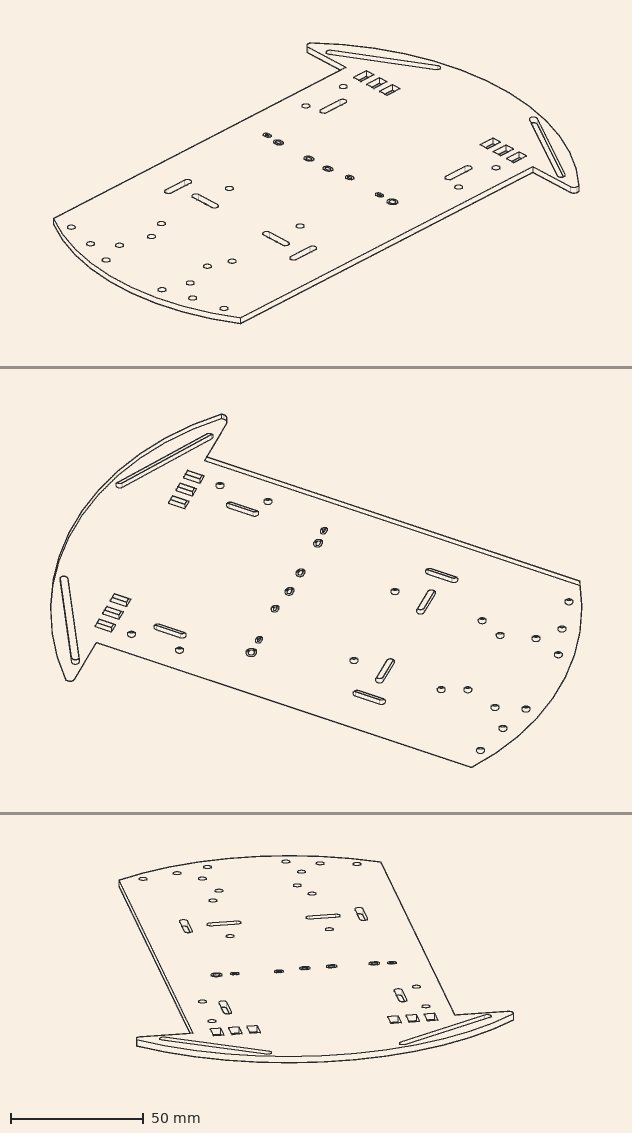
import cadquery as cq

plate_thickness = 2.5
plate_length = 199.4
front_y = plate_length / 2
rear_y = -plate_length / 2
body_half_width = 50.0
body_rear_corner_y = -85.7
head_half_width = 72.0
head_rear_y = 68.5
head_side_length = 2.8
head_corner_radius = 1.8

hole_diameter = 3.0
hole_centres = [
    (40.9, 58.2),
    (40.9, 38.5),
    (19.0, -23.5),
    (19.0, -59.5),
    (15.0, -68.5),
    (19.0, -81.5),
    (40.9, -85.3),
    (27.3, -88.5),
    (15.0, -92.5),
]

slot_width = 3.0
slot_length = 13.0
slot_places = [
    (33.5, 45.7, 90),
    (33.5, -36.3, 90),
    (19.0, -36.3, 0),
]

head_slot_length = 44.5
head_slot_x = 43.9
head_slot_y = 82.3
head_slot_angle = 30

window_width = 4.0
window_height = 6.8
window_first_x = 27.0
window_pitch = 7.0
window_count = 3
window_y = 69.0

island_gap = 0.8
island_places = [
    (-36.0, 13.4, 1.8, 0.5),
    (-29.5, 12.8, 2.4, 1.4),
    (-13.2, 12.8, 2.4, 1.4),
    (-3.0, 12.8, 2.4, 1.4),
    (7.2, 14.2, 1.8, 1.0),
    (24.0, 13.4, 1.8, 0.5),
    (30.9, 13.4, 2.5, 2.2),
]


def slot_prism(x, y, length, width, angle=0):
    """Round-ended prism through the plate thickness; length is the overall length."""
    return cq.Workplane("XY").center(x, y).slot2D(length, width, angle).extrude(plate_thickness)


def make_blank():
    """Plate with a wide curved head, a parallel body and a curved rear edge."""
    head_side_top_y = head_rear_y + head_side_length
    blank = (
        cq.Workplane("XY")
        .moveTo(-head_half_width, head_side_top_y)
        .threePointArc((0, front_y), (head_half_width, head_side_top_y))
        .lineTo(head_half_width, head_rear_y)
        .lineTo(body_half_width, head_rear_y)
        .lineTo(body_half_width, body_rear_corner_y)
        .threePointArc((0, rear_y), (-body_half_width, body_rear_corner_y))
        .lineTo(-body_half_width, head_rear_y)
        .lineTo(-head_half_width, head_rear_y)
        .close()
        .extrude(plate_thickness)
    )
    head_corners = [(-head_half_width, head_rear_y, 0), (head_half_width, head_rear_y, 0)]
    for corner in head_corners:
        blank = blank.edges("|Z").edges(cq.NearestToPointSelector(corner)).fillet(head_corner_radius)
    return blank


def cut_holes(plate, side):
    centres = [(side * x, y) for x, y in hole_centres]
    holes = cq.Workplane("XY").pushPoints(centres).circle(hole_diameter / 2).extrude(plate_thickness)
    return plate.cut(holes)


def cut_slots(plate, side):
    for x, y, angle in slot_places:
        plate = plate.cut(slot_prism(side * x, y, slot_length, slot_width, angle))
    angle = -side * head_slot_angle
    return plate.cut(slot_prism(side * head_slot_x, head_slot_y, head_slot_length, slot_width, angle))


def cut_windows(plate, side):
    centres = [(side * (window_first_x + i * window_pitch), window_y) for i in range(window_count)]
    windows = cq.Workplane("XY").pushPoints(centres).rect(window_width, window_height).extrude(plate_thickness)
    return plate.cut(windows)


def cut_island_openings(plate):
    """Round-ended openings that leave an even gap around every island."""
    for x, y, length, width in island_places:
        plate = plate.cut(slot_prism(x, y, length + 2 * island_gap, width + 2 * island_gap))
    return plate


def make_plate():
    plate = make_blank()
    for side in (-1, 1):
        plate = cut_holes(plate, side)
        plate = cut_slots(plate, side)
        plate = cut_windows(plate, side)
    return cut_island_openings(plate)


def make_island(x, y, length, width):
    return slot_prism(x, y, length, width)


plate = make_plate()
islands = [make_island(*place) for place in island_places]

result = cq.Compound.makeCompound([plate.val(), *[island.val() for island in islands]])